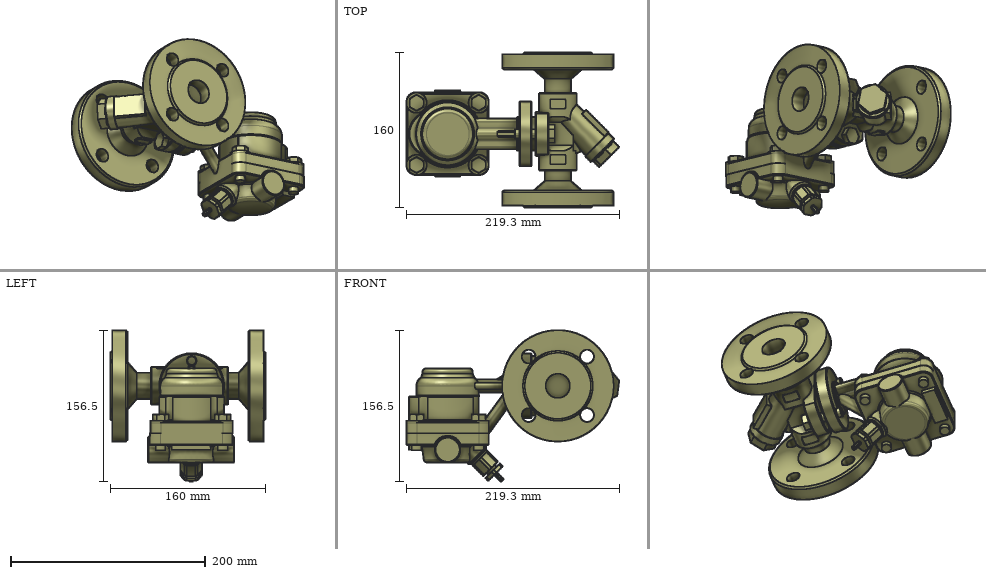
import cadquery as cq
import math


FACE_TO_FACE = 160.0
FLANGE_DIAMETER = 115.0
FLANGE_THICKNESS = 18.0
FLANGE_EDGE = 2.0
RAISED_FACE_DIAMETER = 68.0
RAISED_FACE_HEIGHT = 2.0
BOLT_CIRCLE_DIAMETER = 85.0
FLANGE_HOLE_DIAMETER = 14.0
FLANGE_HOLE_COUNT = 4
BORE_DIAMETER = 25.0
BORE_DEPTH = 16.0
HUB_DIAMETER = 49.0
HUB_LENGTH = 9.5
PIPE_DIAMETER = 27.2

BODY_DIAMETER = 39.0
BODY_LENGTH = 80.0
BODY_CENTER_Y = -1.8
BODY_END_CHAMFER = 1.0
WAIST_CENTER_Y = -4.0
WAIST_WIDTH = 35.0
WAIST_HALF_HEIGHT = 11.0
WAIST_SHOULDER = 5.7
WAIST_RIM = 1.0
WAIST_END_X = 16.0
BRANCH_WEB_HEIGHT = 12.0
BRANCH_WEB_TOP_Y = -10.0
BRANCH_WEB_FOOT_Y = -24.0
BRANCH_WEB_TIP = (23.8, -21.5)
BRANCH_WEB_TIP_BEVEL = 1.3
PAD_LENGTH = 16.0
PAD_WIDTH = 10.0
PAD_CORNER = 1.5
PAD_OFFSET = 28.6

BRANCH_ORIGIN_Y = 25.0
BRANCH_START = 10.0
BRANCH_START_RADIUS = 14.5
BRANCH_COLLAR_START = 56.8
BRANCH_END_RADIUS = 16.0
BRANCH_COLLAR_RADIUS = 17.0
BRANCH_COLLAR_END = 65.0
PLUG_NECK_RADIUS = 14.0
PLUG_START = 66.0
PLUG_END = 74.74
PLUG_CORNER_DIAMETER = 31.3
PLUG_TURN = 10.5
PLATE_START = 23.5
PLATE_END = 56.3
PLATE_HALF_WIDTH = 10.8
PLATE_INNER = 11.5
PLATE_OUTER = 17.6

TRAP_Y = -4.0
JOINT_DIAMETER = 67.0
JOINT_EDGE = 1.0
BODY_FLANGE_X = (-23.1, -9.6)
BODY_FLANGE_WIDTH = 45.6
BODY_FLANGE_TIP_WIDTH = 41.6
BODY_FLANGE_ROOT_INSET = 2.0
BODY_FLANGE_ROOT = 2.4
TRAP_FLANGE_X = (-39.8, -26.8)
JOINT_NECK_DIAMETER = 35.0
HUB_PAD_END_X = -42.5
JOINT_BOLT_Z = 25.8
JOINT_BOLT_DIAMETER = 10.0
JOINT_BOLT_TIP_X = -44.5
JOINT_HEAD_FLATS = 16.0
JOINT_HEAD_HEIGHT = 6.4

ARM_DIAMETER = 14.0
ARM_WEB_WIDTH = 32.0
ARM_WEB_HEIGHT = 6.6
GUSSET_START_X = -63.0
GUSSET_START_Z = 6.5
GUSSET_TOP_Z = 20.0
GUSSET_WIDTH = 6.6
GUSSET_CHAMFER = 1.5
ARM_FILLET = 1.2
TUBE_DIAMETER = 12.0
TUBE_LOW = (-79.0, -50.0)
TUBE_HIGH = (-41.6, 1.2)

TRAP_X = -113.5
DOME_TOP_Z = 18.1
DOME_SHELL_RADIUS = 32.2
DOME_CROWN_RADIUS = 26.0
DOME_CROWN_FILLET = 4.0
CROWN_FOOT_Z = 12.6
SHOULDER_TOP_Z = 8.5
SHOULDER_TOP_RADIUS = 27.5
SHOULDER_MID_STEP = 3.2
SHOULDER_FOOT_Z = 0.2
DOME_FOOT_Z = -9.5
SHELL_TOP_Z = -10.7
SHELL_RIM = 0.8
SHELL_RADIUS = 33.5
SHELL_FOOT_FLARE = 1.3
LOBE_RADIUS = 23.5
LOBE_END_X = -153.4
BOLT_FLUTE_RADIUS = 12.8
ARM_SIDE_OFFSET = 26.6

COVER_SIZE = 85.0
COVER_CORNER = 10.5
COVER_TOP_Z = -36.4
COVER_SEAM_Z = -48.9
COVER_BOTTOM_Z = -61.0
COVER_TOP_CHAMFER = 1.6
COVER_BOTTOM_CHAMFER = 1.0
LOWER_COVER_Y = -3.4
SPOT_FACE_Z = -35.8
COVER_BOLT_PITCH = COVER_SIZE - 2 * COVER_CORNER
COVER_BOLT_FLATS = 14.4
COVER_BOLT_TOP_Z = -29.5
COVER_BOLT_DIAMETER = 10.0
COVER_BOLT_TIP_Z = -66.4
BOLT_HEAD_CHAMFER = 0.6

BOWL_TOP_RADIUS = 26.5
BOWL_LOW_RADIUS = 24.3
BOWL_FLARE = 1.6
BOWL_BOTTOM_Z = -79.0
BOWL_FILLET = 4.0
SIDE_BLOCK_WIDTH = 40.0
SIDE_BLOCK_LENGTH = 14.0
SIDE_BLOCK_BOTTOM_Z = -66.0
SIDE_BOSS_DIAMETER = 26.4
SIDE_BOSS_LENGTH = 89.0
SIDE_BOSS_CHAMFER = 0.8
SIDE_BOSS_FLARE = 1.3

VALVE_TIP = (-57.04, -97.55)
VALVE_LENGTH = 32.4
VALVE_ROOT_DEPTH = 24.0
VALVE_BOSS_DIAMETER = 25.5
VALVE_BOSS_GAP = 2.2
VALVE_BOSS_CHAMFER = 1.8
VALVE_COLLAR_DIAMETER = 21.0
NUT_FLATS = 21.3
NUT_BEVEL_FLATS = 22.8
NUT_LENGTH = 15.2
VALVE_NECK_DIAMETER = 12.0
VALVE_NECK_LENGTH = 2.9
LOCK_NUT_LENGTH = 4.2
STEM_DIAMETER = 4.0
STEM_LENGTH = 2.0

OVERLAP = 1.0


def hexagon_diameter(flats):
    """Across-corners diameter of a hexagon with the given distance across flats."""
    return flats / math.cos(math.pi / 6)


def rod_x(x_start, x_end, diameter, y, z):
    """Cylinder along X."""
    return cq.Workplane("YZ", origin=(x_start, y, z)).circle(diameter / 2).extrude(x_end - x_start)


def pipe_end():
    """Weld-neck flange with its hub and pipe, on the -Y side."""
    face_y = -FACE_TO_FACE / 2
    rim_y = face_y + RAISED_FACE_HEIGHT
    back_y = face_y + FLANGE_THICKNESS
    hub_end_y = back_y + HUB_LENGTH
    pipe_end_y = BODY_CENTER_Y - BODY_LENGTH / 2 + FLANGE_THICKNESS
    face_radius = RAISED_FACE_DIAMETER / 2
    rim_radius = FLANGE_DIAMETER / 2
    profile = [
        (0, face_y),
        (face_radius, face_y),
        (face_radius + RAISED_FACE_HEIGHT, rim_y),
        (rim_radius, rim_y),
        (rim_radius, back_y - FLANGE_EDGE),
        (rim_radius - FLANGE_EDGE, back_y),
        (HUB_DIAMETER / 2, back_y),
        (PIPE_DIAMETER / 2, hub_end_y),
        (PIPE_DIAMETER / 2, pipe_end_y),
        (0, pipe_end_y),
    ]
    end = cq.Workplane("XY").polyline(profile).close().revolve(360, (0, 0, 0), (0, 1, 0))
    face = cq.Workplane("XZ", origin=(0, face_y, 0))
    holes = (
        face.polarArray(BOLT_CIRCLE_DIAMETER / 2, 45, 360, FLANGE_HOLE_COUNT)
        .circle(FLANGE_HOLE_DIAMETER / 2)
        .extrude(-FLANGE_THICKNESS)
    )
    bore = face.circle(BORE_DIAMETER / 2).extrude(-BORE_DEPTH)
    return end.cut(holes).cut(bore)


def valve_body():
    """Round body with a flat-sided waist and marking pads above and below."""
    radius = BODY_DIAMETER / 2
    half_waist = WAIST_WIDTH / 2
    body = (
        cq.Workplane("XZ", origin=(0, BODY_CENTER_Y + BODY_LENGTH / 2, 0))
        .circle(radius)
        .extrude(BODY_LENGTH)
        .faces("<Y or >Y")
        .chamfer(BODY_END_CHAMFER)
    )
    recess_profile = [
        (half_waist, radius + OVERLAP),
        (half_waist, radius - WAIST_RIM),
        (half_waist - WAIST_SHOULDER, WAIST_HALF_HEIGHT),
        (WAIST_SHOULDER - half_waist, WAIST_HALF_HEIGHT),
        (-half_waist, radius - WAIST_RIM),
        (-half_waist, radius + OVERLAP),
    ]
    recess = (
        cq.Workplane("YZ", origin=(-BODY_DIAMETER, WAIST_CENTER_Y, 0))
        .polyline(recess_profile)
        .close()
        .extrude(2 * BODY_DIAMETER)
    )
    side_cut = cq.Workplane("XY").box(
        BODY_DIAMETER, WAIST_WIDTH, BODY_DIAMETER, centered=(False, True, True)
    )
    side_cut = side_cut.translate((WAIST_END_X, WAIST_CENTER_Y, 0))
    body = body.cut(recess).cut(recess.mirror("XY")).cut(side_cut)
    for side in (-1, 1):
        pad = (
            cq.Workplane("XY")
            .box(PAD_LENGTH, PAD_WIDTH, BODY_DIAMETER)
            .edges("|Z")
            .fillet(PAD_CORNER)
            .translate((0, BODY_CENTER_Y + side * PAD_OFFSET, 0))
        )
        body = body.union(pad)
    branch_web = (
        cq.Workplane("XY", origin=(0, 0, -BRANCH_WEB_HEIGHT / 2))
        .polyline([
            (WAIST_END_X, BRANCH_WEB_TOP_Y),
            BRANCH_WEB_TIP,
            (BRANCH_WEB_TIP[0] - BRANCH_WEB_TIP_BEVEL, BRANCH_WEB_TIP[1] - BRANCH_WEB_TIP_BEVEL),
            (radius, BRANCH_WEB_FOOT_Y),
            (WAIST_END_X, BRANCH_WEB_FOOT_Y),
        ])
        .close()
        .extrude(BRANCH_WEB_HEIGHT)
    )
    body = body.union(branch_web)
    root_x = BODY_FLANGE_X[0]
    root = cq.Workplane("XY").box(-root_x, WAIST_WIDTH, 2 * WAIST_HALF_HEIGHT, centered=(False, True, True))
    return body.union(root.translate((root_x, WAIST_CENTER_Y, 0)))


def strainer_branch():
    """Tapered branch, collar and hexagon plug, with a flat name plate along the outer side."""
    axis_plane = cq.Plane(origin=(0, BRANCH_ORIGIN_Y, 0), xDir=(1, 1, 0), normal=(1, -1, 0))
    profile = [
        (0, BRANCH_START),
        (BRANCH_START_RADIUS, BRANCH_START),
        (BRANCH_END_RADIUS, BRANCH_COLLAR_START),
        (BRANCH_COLLAR_RADIUS, BRANCH_COLLAR_START),
        (BRANCH_COLLAR_RADIUS, BRANCH_COLLAR_END),
        (PLUG_NECK_RADIUS, BRANCH_COLLAR_END),
        (PLUG_NECK_RADIUS, PLUG_START + OVERLAP),
        (0, PLUG_START + OVERLAP),
    ]
    profile_plane = cq.Plane(origin=(0, BRANCH_ORIGIN_Y, 0), xDir=(1, 1, 0), normal=(0, 0, 1))
    profile = [(radius, -distance) for radius, distance in profile]
    branch = cq.Workplane(profile_plane).polyline(profile).close().revolve(360, (0, 0, 0), (0, 1, 0))
    plug = (
        cq.Workplane(axis_plane)
        .workplane(offset=PLUG_START)
        .transformed(rotate=(0, 0, 90 - PLUG_TURN))
        .polygon(6, PLUG_CORNER_DIAMETER)
        .extrude(PLUG_END - PLUG_START)
    )
    plate = (
        cq.Workplane(axis_plane)
        .workplane(offset=PLATE_START)
        .center((PLATE_INNER + PLATE_OUTER) / 2, 0)
        .rect(PLATE_OUTER - PLATE_INNER, 2 * PLATE_HALF_WIDTH)
        .extrude(PLATE_END - PLATE_START)
    )
    return branch.union(plug).union(plate)


def joint_disc(x_range):
    """Round joint flange with chamfered rims."""
    disc = rod_x(x_range[0], x_range[1], JOINT_DIAMETER, TRAP_Y, 0)
    return disc.faces("<X or >X").chamfer(JOINT_EDGE)


def bolted_joint():
    """Two joint flanges, the neck between them and two hexagon bolts through both."""
    half_width = BODY_FLANGE_WIDTH / 2
    half_tip = BODY_FLANGE_TIP_WIDTH / 2
    corner_z = math.sqrt((JOINT_DIAMETER / 2) ** 2 - half_tip**2)
    tapered_sides = (
        cq.Workplane("YZ", origin=(BODY_FLANGE_X[0], TRAP_Y, 0))
        .moveTo(half_width, 0)
        .lineTo(half_tip, corner_z)
        .threePointArc((0, JOINT_DIAMETER / 2), (-half_tip, corner_z))
        .lineTo(-half_width, 0)
        .lineTo(-half_tip, -corner_z)
        .threePointArc((0, -JOINT_DIAMETER / 2), (half_tip, -corner_z))
        .close()
    )
    body_flange = tapered_sides.extrude(BODY_FLANGE_X[1] - BODY_FLANGE_X[0])
    body_flange = body_flange.faces("<X or >X").chamfer(JOINT_EDGE)
    root = cq.Workplane("XY").box(
        BODY_FLANGE_ROOT + OVERLAP,
        BODY_FLANGE_WIDTH - BODY_FLANGE_ROOT_INSET,
        2 * WAIST_HALF_HEIGHT,
        centered=(False, True, True),
    )
    root = root.translate((BODY_FLANGE_X[1] - OVERLAP, TRAP_Y, 0))
    neck = rod_x(HUB_PAD_END_X, BODY_FLANGE_X[0] + OVERLAP, JOINT_NECK_DIAMETER, TRAP_Y, 0)
    neck = neck.faces("<X").chamfer(JOINT_EDGE)
    joint = joint_disc(TRAP_FLANGE_X).union(body_flange).union(root).union(neck)
    for bolt_z in (-JOINT_BOLT_Z, JOINT_BOLT_Z):
        shank = rod_x(JOINT_BOLT_TIP_X, BODY_FLANGE_X[1], JOINT_BOLT_DIAMETER, TRAP_Y, bolt_z)
        shank = shank.faces("<X").chamfer(BOLT_HEAD_CHAMFER)
        head = (
            cq.Workplane("YZ", origin=(BODY_FLANGE_X[1], TRAP_Y, bolt_z))
            .polygon(6, hexagon_diameter(JOINT_HEAD_FLATS))
            .extrude(JOINT_HEAD_HEIGHT)
        )
        joint = joint.union(shank).union(head)
    return joint


def arm():
    """Round arm with a web on each side, a gusset above it and an inclined tube below it."""
    end_x = TRAP_FLANGE_X[0] + OVERLAP
    length = end_x - TRAP_X
    core = rod_x(TRAP_X, end_x, ARM_DIAMETER, TRAP_Y, 0)
    web = (
        cq.Workplane("YZ", origin=(TRAP_X, TRAP_Y, 0))
        .slot2D(ARM_WEB_WIDTH, ARM_WEB_HEIGHT)
        .extrude(length)
    )
    gusset = (
        cq.Workplane("XZ", origin=(0, TRAP_Y + GUSSET_WIDTH / 2, 0))
        .polyline([
            (GUSSET_START_X, 0),
            (GUSSET_START_X, GUSSET_START_Z),
            (HUB_PAD_END_X, GUSSET_TOP_Z),
            (end_x, GUSSET_TOP_Z),
            (end_x, 0),
        ])
        .close()
        .extrude(GUSSET_WIDTH)
        .faces(cq.selectors.DirectionMinMaxSelector(cq.Vector(-2, 0, 3)))
        .edges("not |Y")
        .chamfer(GUSSET_CHAMFER)
    )
    web_roots = cq.selectors.BoxSelector(
        (TRAP_X, TRAP_Y - ARM_DIAMETER / 2, -ARM_DIAMETER / 2 + OVERLAP),
        (end_x, TRAP_Y + ARM_DIAMETER / 2, ARM_DIAMETER / 2 - OVERLAP),
    )
    core = core.union(web).edges("|X").edges(web_roots).fillet(ARM_FILLET)
    run = TUBE_HIGH[0] - TUBE_LOW[0]
    rise = TUBE_HIGH[1] - TUBE_LOW[1]
    tube_plane = cq.Plane(origin=(TUBE_LOW[0], TRAP_Y, TUBE_LOW[1]), xDir=(0, 1, 0), normal=(run, 0, rise))
    tube = cq.Workplane(tube_plane).circle(TUBE_DIAMETER / 2).extrude(math.hypot(run, rise))
    return core.union(gusset).union(tube)


def trap_dome():
    """Stepped dome on a round shell, with a rounded lobe on the -X side.

    Two flutes beside the lobe clear the bolts; towards the arm the shell is slimmer.
    """
    crown_flat_radius = DOME_CROWN_RADIUS - DOME_CROWN_FILLET
    crown_mid = DOME_CROWN_FILLET * math.sqrt(0.5)
    shoulder_mid_radius = SHOULDER_TOP_RADIUS + SHOULDER_MID_STEP
    shoulder_mid_z = SHOULDER_TOP_Z - SHOULDER_MID_STEP
    dome = (
        cq.Workplane("XZ", origin=(TRAP_X, TRAP_Y, 0))
        .moveTo(0, DOME_TOP_Z)
        .lineTo(crown_flat_radius, DOME_TOP_Z)
        .threePointArc(
            (crown_flat_radius + crown_mid, DOME_TOP_Z - DOME_CROWN_FILLET + crown_mid),
            (DOME_CROWN_RADIUS, DOME_TOP_Z - DOME_CROWN_FILLET),
        )
        .lineTo(DOME_CROWN_RADIUS, CROWN_FOOT_Z)
        .lineTo(SHOULDER_TOP_RADIUS, SHOULDER_TOP_Z)
        .threePointArc((shoulder_mid_radius, shoulder_mid_z), (DOME_SHELL_RADIUS, SHOULDER_FOOT_Z))
        .lineTo(DOME_SHELL_RADIUS, DOME_FOOT_Z)
        .lineTo(SHELL_RADIUS - SHELL_RIM, SHELL_TOP_Z)
        .lineTo(DOME_SHELL_RADIUS, SHELL_TOP_Z)
        .lineTo(DOME_SHELL_RADIUS, COVER_TOP_Z + SHELL_FOOT_FLARE)
        .lineTo(SHELL_RADIUS, COVER_TOP_Z + SHELL_FOOT_FLARE)
        .lineTo(SHELL_RADIUS + SHELL_FOOT_FLARE, COVER_TOP_Z)
        .lineTo(0, COVER_TOP_Z)
        .close()
        .revolve(360, (0, 0, 0), (0, 1, 0))
    )
    height = SHELL_TOP_Z - COVER_TOP_Z
    floor = cq.Workplane("XY", origin=(TRAP_X, TRAP_Y, COVER_TOP_Z))
    shell = floor.circle(SHELL_RADIUS).extrude(height)
    lobe = floor.center(LOBE_END_X + LOBE_RADIUS - TRAP_X, 0).circle(LOBE_RADIUS).extrude(height)
    half_pitch = COVER_BOLT_PITCH / 2
    flutes = floor.pushPoints([(-half_pitch, -half_pitch), (-half_pitch, half_pitch)])
    flutes = flutes.circle(BOLT_FLUTE_RADIUS).extrude(height)
    arm_side = floor.center(ARM_SIDE_OFFSET, 0)
    arm_side = arm_side.rect(SHELL_RADIUS, 2 * SHELL_RADIUS, centered=(False, True)).extrude(height)
    lobed_shell = shell.faces(">Z").chamfer(SHELL_RIM).union(lobe.faces(">Z").chamfer(SHELL_RIM))
    return dome.union(lobed_shell.cut(flutes).cut(arm_side))


def cover_plate(bottom_z, top_z, center_y):
    """Square plate with rounded corners."""
    return (
        cq.Workplane("XY", origin=(TRAP_X, center_y, bottom_z))
        .rect(COVER_SIZE, COVER_SIZE)
        .extrude(top_z - bottom_z)
        .edges("|Z")
        .fillet(COVER_CORNER)
    )


def hexagon_head(bottom_z, top_z, x, y):
    """Hexagon bolt head with its top corners turned off."""
    corners = hexagon_diameter(COVER_BOLT_FLATS)
    height = top_z - bottom_z
    base = cq.Workplane("XY", origin=(x, y, bottom_z))
    turned = base.circle(corners / 2).extrude(height).faces(">Z").chamfer(BOLT_HEAD_CHAMFER)
    return base.transformed(rotate=(0, 0, 30)).polygon(6, corners).extrude(height).intersect(turned)


def trap_cover():
    """Pair of bolted cover plates with four hexagon bolts."""
    upper = cover_plate(COVER_SEAM_Z, COVER_TOP_Z, TRAP_Y).faces(">Z").chamfer(COVER_TOP_CHAMFER)
    lower = cover_plate(COVER_BOTTOM_Z, COVER_SEAM_Z, LOWER_COVER_Y).faces("<Z").chamfer(COVER_BOTTOM_CHAMFER)
    cover = upper.union(lower)
    half_pitch = COVER_BOLT_PITCH / 2
    for x in (TRAP_X - half_pitch, TRAP_X + half_pitch):
        for y in (TRAP_Y - half_pitch, TRAP_Y + half_pitch):
            seat = cq.Workplane("XY", origin=(x, y, COVER_SEAM_Z))
            boss = seat.circle(COVER_CORNER).extrude(SPOT_FACE_Z - COVER_SEAM_Z)
            shank = seat.circle(COVER_BOLT_DIAMETER / 2).extrude(COVER_BOLT_TIP_Z - COVER_SEAM_Z)
            head = hexagon_head(SPOT_FACE_Z, COVER_BOLT_TOP_Z, x, y)
            cover = cover.union(boss).union(shank).union(head)
    return cover


def trap_bowl():
    """Tapered bowl under the cover, with a cross boss along Y and a block on the -X side."""
    bowl = (
        cq.Workplane("XZ", origin=(TRAP_X, LOWER_COVER_Y, 0))
        .polyline([
            (0, COVER_BOTTOM_Z + OVERLAP),
            (BOWL_TOP_RADIUS + BOWL_FLARE, COVER_BOTTOM_Z + OVERLAP),
            (BOWL_TOP_RADIUS + BOWL_FLARE, COVER_BOTTOM_Z),
            (BOWL_TOP_RADIUS, COVER_BOTTOM_Z - BOWL_FLARE),
            (BOWL_LOW_RADIUS, BOWL_BOTTOM_Z),
            (0, BOWL_BOTTOM_Z),
        ])
        .close()
        .revolve(360, (0, 0, 0), (0, 1, 0))
        .faces("<Z")
        .edges()
        .fillet(BOWL_FILLET)
    )
    boss_z = BOWL_BOTTOM_Z + SIDE_BOSS_DIAMETER / 2
    boss = (
        cq.Workplane("XZ", origin=(TRAP_X, LOWER_COVER_Y + SIDE_BOSS_LENGTH / 2, boss_z))
        .circle(SIDE_BOSS_DIAMETER / 2)
        .extrude(SIDE_BOSS_LENGTH)
        .faces("<Y or >Y")
        .chamfer(SIDE_BOSS_CHAMFER)
    )
    flare_radius = SIDE_BOSS_DIAMETER / 2 + SIDE_BOSS_FLARE
    flare_length = COVER_SIZE + 2 * SIDE_BOSS_FLARE
    flare = (
        cq.Workplane("XZ", origin=(TRAP_X, LOWER_COVER_Y + flare_length / 2, boss_z))
        .circle(flare_radius)
        .extrude(flare_length)
        .faces("<Y or >Y")
        .chamfer(SIDE_BOSS_FLARE)
    )
    below_cover = cq.Workplane("XY").box(COVER_SIZE, flare_length, COVER_SIZE, centered=(True, True, False))
    below_cover = below_cover.translate((TRAP_X, LOWER_COVER_Y, COVER_BOTTOM_Z - COVER_SIZE))
    bowl = bowl.union(boss).union(flare.cut(below_cover))
    block = cq.Workplane("XY").box(
        SIDE_BLOCK_LENGTH,
        SIDE_BLOCK_WIDTH,
        COVER_BOTTOM_Z + OVERLAP - SIDE_BLOCK_BOTTOM_Z,
        centered=(False, True, False),
    )
    block = block.translate((LOBE_END_X, LOWER_COVER_Y, SIDE_BLOCK_BOTTOM_Z))
    return bowl.union(block)


def bevelled_nut(base, length):
    """Hexagon nut with its long corners bevelled flat."""
    hexagon = base.polygon(6, hexagon_diameter(NUT_FLATS)).extrude(length)
    bevel = base.transformed(rotate=(0, 0, 30)).polygon(6, hexagon_diameter(NUT_BEVEL_FLATS)).extrude(length)
    return hexagon.intersect(bevel)


def blow_down_valve():
    """Boss, nut, lock nut and stem stacked along an axis inclined 45 degrees."""
    tip = (VALVE_TIP[0], LOWER_COVER_Y, VALVE_TIP[1])
    axis_plane = cq.Plane(origin=tip, xDir=(0, 1, 0), normal=(1, 0, -1))
    axis = cq.Workplane(axis_plane)
    nut_start = -VALVE_LENGTH
    nut_end = nut_start + NUT_LENGTH
    lock_start = nut_end + VALVE_NECK_LENGTH
    lock_end = lock_start + LOCK_NUT_LENGTH
    stem_end = lock_end + STEM_LENGTH

    def cylinder(start, end, diameter):
        return axis.workplane(offset=start).circle(diameter / 2).extrude(end - start)

    boss = cylinder(nut_start - VALVE_ROOT_DEPTH, nut_start - VALVE_BOSS_GAP, VALVE_BOSS_DIAMETER)
    boss = boss.faces(cq.selectors.DirectionMinMaxSelector(cq.Vector(1, 0, -1))).chamfer(VALVE_BOSS_CHAMFER)
    collar = cylinder(nut_start - VALVE_BOSS_GAP, nut_start, VALVE_COLLAR_DIAMETER)
    nut = bevelled_nut(axis.workplane(offset=nut_start), NUT_LENGTH)
    neck = cylinder(nut_end, lock_start, VALVE_NECK_DIAMETER)
    lock_nut = bevelled_nut(axis.workplane(offset=lock_start), LOCK_NUT_LENGTH)
    stem = cylinder(lock_end, stem_end, STEM_DIAMETER)
    key = axis.workplane(offset=stem_end).polygon(6, hexagon_diameter(STEM_DIAMETER)).extrude(-stem_end)
    return boss.union(collar).union(nut).union(neck).union(lock_nut).union(stem).union(key)


front_pipe_end = pipe_end()
back_pipe_end = front_pipe_end.mirror("XZ")
result = valve_body().union(front_pipe_end).union(back_pipe_end)
for section in (
    strainer_branch(),
    bolted_joint(),
    arm(),
    trap_dome(),
    trap_cover(),
    trap_bowl(),
    blow_down_valve(),
):
    result = result.union(section)